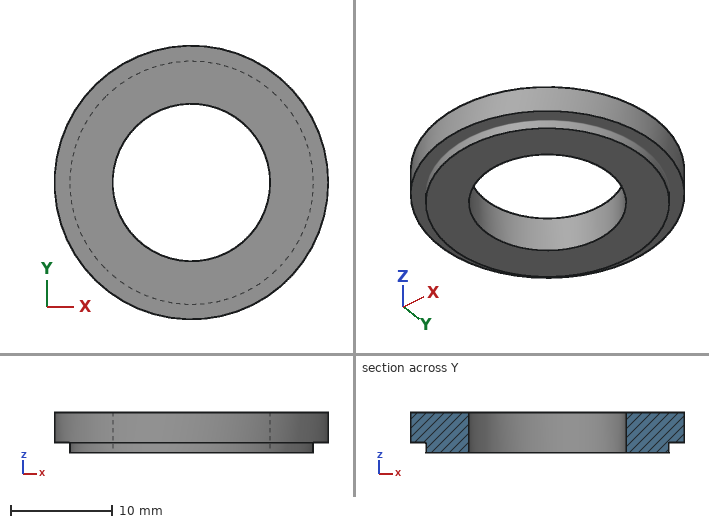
import cadquery as cq

outer_diameter = 27.0
step_diameter = 24.0
bore_diameter = 15.5
total_height = 4.0
step_height = 1.0
corner_radius = 0.1

outer_radius = outer_diameter / 2
step_radius = step_diameter / 2
bore_radius = bore_diameter / 2

half_section = (
    cq.Workplane("XZ")
    .moveTo(bore_radius, 0)
    .lineTo(step_radius, 0)
    .lineTo(step_radius, step_height - corner_radius)
    .radiusArc((step_radius + corner_radius, step_height), corner_radius)
    .lineTo(outer_radius, step_height)
    .lineTo(outer_radius, total_height)
    .lineTo(bore_radius, total_height)
    .close()
)

result = half_section.revolve(360, (0, 0, 0), (0, 1, 0))